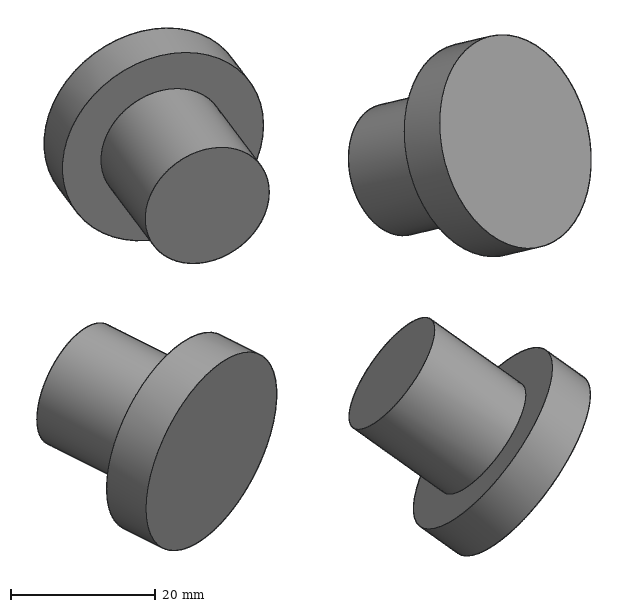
import cadquery as cq

head_diameter = 30.0
head_thickness = 6.87
shank_diameter = 18.5
total_length = 23.3
shank_length = total_length - head_thickness

head = cq.Workplane("YZ").circle(head_diameter / 2).extrude(head_thickness)

result = head.faces(">X").workplane().circle(shank_diameter / 2).extrude(shank_length)